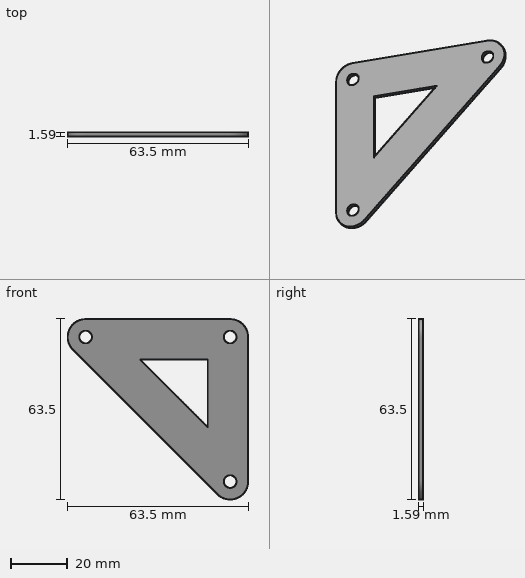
import cadquery as cq
import math

hole_spacing = 50.8
corner_radius = 6.35
hole_diameter = 4.37
thickness = 1.5875
window_inset = 7.9375

full_turn = 360

left_hole = (0, 0)
right_hole = (hole_spacing, 0)
bottom_hole = (hole_spacing, -hole_spacing)
hole_centres = [left_hole, right_hole, bottom_hole]


def point_on_corner(centre, angle_degrees):
    """Point on the corner circle around a hole centre."""
    angle = math.radians(angle_degrees)
    return (
        centre[0] + corner_radius * math.cos(angle),
        centre[1] + corner_radius * math.sin(angle),
    )


def front_plane():
    """Sketch plane in X and Z on the +Y face; extrusions grow toward -Y."""
    return cq.Workplane(cq.Plane(origin=(0, thickness, 0), xDir=(1, 0, 0), normal=(0, -1, 0)))


def make_plate():
    """Right-triangle plate with three round corners joined by tangent edges."""
    top = 90
    right = 0
    slope = -135
    return (
        front_plane()
        .moveTo(*point_on_corner(left_hole, top))
        .lineTo(*point_on_corner(right_hole, top))
        .threePointArc(
            point_on_corner(right_hole, (top + right) / 2),
            point_on_corner(right_hole, right),
        )
        .lineTo(*point_on_corner(bottom_hole, right))
        .threePointArc(
            point_on_corner(bottom_hole, (right + slope) / 2),
            point_on_corner(bottom_hole, slope),
        )
        .lineTo(*point_on_corner(left_hole, slope))
        .threePointArc(
            point_on_corner(left_hole, (top + slope + full_turn) / 2),
            point_on_corner(left_hole, top),
        )
        .close()
        .extrude(thickness)
    )


def make_holes():
    """Through holes at the three corners."""
    return front_plane().pushPoints(hole_centres).circle(hole_diameter / 2).extrude(thickness)


def make_window():
    """Sharp triangular window, inset equally from all three hole-centre lines."""
    window_leg = hole_spacing - window_inset * (2 + math.sqrt(2))
    window_right = hole_spacing - window_inset
    window_top = -window_inset
    return (
        front_plane()
        .moveTo(window_right, window_top)
        .lineTo(window_right - window_leg, window_top)
        .lineTo(window_right, window_top - window_leg)
        .close()
        .extrude(thickness)
    )


result = make_plate().cut(make_holes()).cut(make_window())